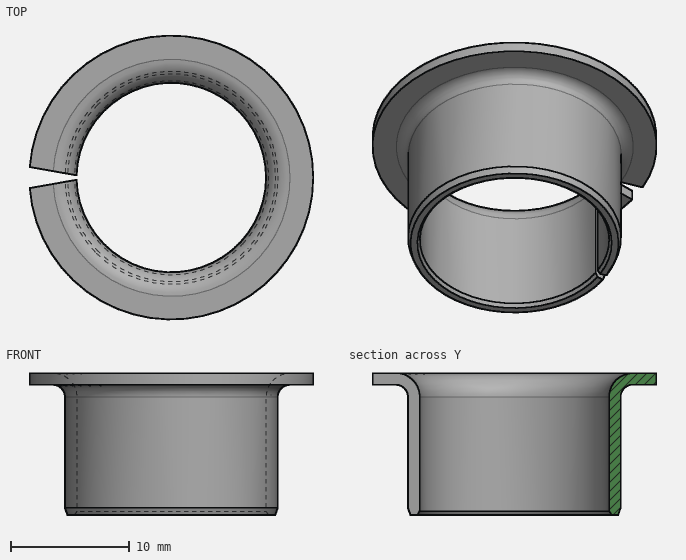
import cadquery as cq
import math

flange_diameter = 23.98
height = 12.0
wall = 1.0
bore_radius = 7.99
outer_bend_radius = 1.0
chamfer_height = 0.6
chamfer_angle = 20.0
bore_chamfer_height = 0.34
bore_chamfer_depth = 0.22
slot_half_angle = 10.0
slot_bore_width = 0.35

flange_radius = flange_diameter / 2
sleeve_radius = bore_radius + wall
inner_bend_radius = outer_bend_radius + wall
bend_center_radius = sleeve_radius + outer_bend_radius
bend_center_z = height - inner_bend_radius
chamfer_depth = chamfer_height * math.tan(math.radians(chamfer_angle))


def flanged_sleeve():
    """Sleeve of constant wall, rolled outward into a flange at the top."""
    diagonal = math.sqrt(0.5)
    inner_bend_mid = (
        bend_center_radius - inner_bend_radius * diagonal,
        bend_center_z + inner_bend_radius * diagonal,
    )
    outer_bend_mid = (
        bend_center_radius - outer_bend_radius * diagonal,
        bend_center_z + outer_bend_radius * diagonal,
    )
    profile = (
        cq.Workplane("XZ")
        .moveTo(bore_radius + bore_chamfer_depth, 0)
        .lineTo(bore_radius, bore_chamfer_height)
        .lineTo(bore_radius, bend_center_z)
        .threePointArc(inner_bend_mid, (bend_center_radius, height))
        .lineTo(flange_radius, height)
        .lineTo(flange_radius, height - wall)
        .lineTo(bend_center_radius, height - wall)
        .threePointArc(outer_bend_mid, (sleeve_radius, bend_center_z))
        .lineTo(sleeve_radius, chamfer_height)
        .lineTo(sleeve_radius - chamfer_depth, 0)
        .close()
    )
    return profile.revolve(360, (0, 0), (0, 1)).rotate((0, 0, 0), (0, 0, 1), 180)


def slot_cutter():
    """Full-height wedge on the -X side, opening outward from the bore."""
    slope = math.tan(math.radians(slot_half_angle))
    tip_x = -bore_radius + slot_bore_width / 2 / slope
    mouth_x = -flange_diameter
    mouth_half_width = (tip_x - mouth_x) * slope
    return (
        cq.Workplane("XY")
        .moveTo(tip_x, 0)
        .lineTo(mouth_x, mouth_half_width)
        .lineTo(mouth_x, -mouth_half_width)
        .close()
        .extrude(height)
    )


result = flanged_sleeve().cut(slot_cutter())